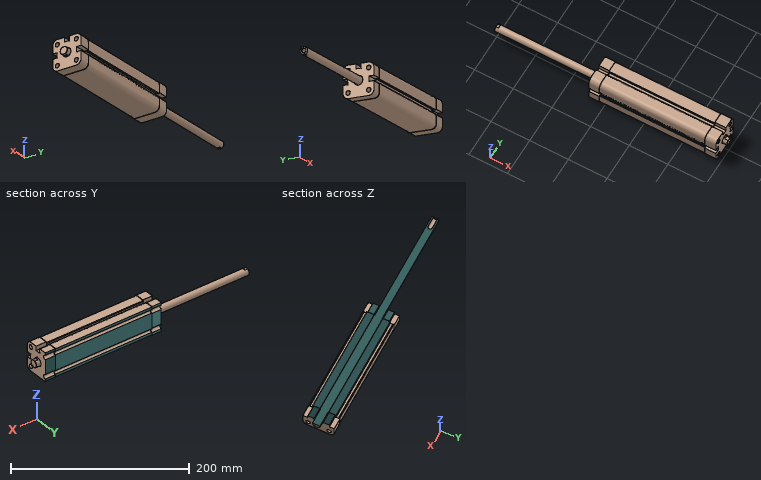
import cadquery as cq
import math

total_length = 301.0
front_cap_start = 130.5
front_cap_length = 13.5
tube_length = 136.5
rear_cap_length = 14.5
tube_start = front_cap_start + front_cap_length
rear_cap_start = tube_start + tube_length

cap_width = 39.5
tube_width = 38.5
cap_corner_radius = 6.5
tube_corner_radius = cap_corner_radius - (cap_width - tube_width) / 2

bolt_spacing = 26.2
cap_hole_diameter = 5.5
tube_hole_diameter = 4.0

cap_bore_diameter = 11.0

cap_slot_width = 6.3
cap_slot_depth = 6.0
tube_slot_opening = 4.8
tube_slot_width = cap_slot_width
tube_slot_depth = 4.8
tube_lip_thickness = 1.8
slot_angles = (-90, 0, 90)

rod_diameter = 10.0
flats_distance = 9.0
front_flats_length = 4.0
rear_flats_length = 4.5
rear_chamfer = 0.3
rod_hole_diameter = 4.8
rod_hole_mouth_diameter = 6.0
rod_hole_depth = 15.0
drill_point_angle = 118


def bar(start, length, width, corner_radius):
    """Square bar along X with rounded long edges."""
    return (
        cq.Workplane("YZ", origin=(start, 0, 0))
        .rect(width, width)
        .extrude(length)
        .edges("|X")
        .fillet(corner_radius)
    )


def slot_cutter(start, length, width, outer_depth, inner_depth):
    """Groove in the top face, between two depths below the cap's top."""
    groove = cq.Workplane("XY").box(length, width, inner_depth - outer_depth, centered=(False, True, False))
    return groove.translate((start, 0, cap_width / 2 - inner_depth))


def cut_on_slotted_faces(body, cutter):
    """Cut the top-face groove there and on both side faces."""
    for angle in slot_angles:
        body = body.cut(cutter.rotate((0, 0, 0), (1, 0, 0), angle))
    return body


def cut_long_holes(body, start, length, bolt_hole_diameter, bore_diameter):
    """Cut the four bolt holes and the central rod bore."""
    section = cq.Workplane("YZ", origin=(start, 0, 0))
    bolt_holes = section.rect(bolt_spacing, bolt_spacing, forConstruction=True).vertices()
    body = body.cut(bolt_holes.circle(bolt_hole_diameter / 2).extrude(length))
    return body.cut(section.circle(bore_diameter / 2).extrude(length))


def make_cap(start, length):
    """End cap with plain slots."""
    cap = bar(start, length, cap_width, cap_corner_radius)
    cap = cut_long_holes(cap, start, length, cap_hole_diameter, cap_bore_diameter)
    return cut_on_slotted_faces(cap, slot_cutter(start, length, cap_slot_width, 0, cap_slot_depth))


def make_tube():
    """Profile tube with lipped slots."""
    tube = bar(tube_start, tube_length, tube_width, tube_corner_radius)
    tube = cut_long_holes(tube, tube_start, tube_length, tube_hole_diameter, rod_diameter)
    opening = slot_cutter(tube_start, tube_length, tube_slot_opening, 0, tube_slot_depth)
    channel = slot_cutter(tube_start, tube_length, tube_slot_width, tube_lip_thickness, tube_slot_depth)
    return cut_on_slotted_faces(tube, opening.union(channel))


def make_rod():
    """Round rod with wrench flats at both ends and a drilled front tip."""
    rod = cq.Workplane("YZ").circle(rod_diameter / 2).extrude(total_length)
    rod = rod.faces(">X").chamfer(rear_chamfer)

    flat_cut = (rod_diameter - flats_distance) / 2
    rear_flats_start = total_length - rear_flats_length
    for start, length in ((0, front_flats_length), (rear_flats_start, rear_flats_length)):
        for bottom in (flats_distance / 2, -rod_diameter / 2):
            block = cq.Workplane("XY").box(length, rod_diameter, flat_cut, centered=(False, True, False))
            rod = rod.cut(block.translate((start, 0, bottom)))

    radius = rod_hole_diameter / 2
    mouth_radius = rod_hole_mouth_diameter / 2
    point_length = radius / math.tan(math.radians(drill_point_angle / 2))
    drill_outline = [
        (0, 0),
        (0, mouth_radius),
        (mouth_radius - radius, radius),
        (rod_hole_depth, radius),
        (rod_hole_depth + point_length, 0),
    ]
    drill = cq.Workplane("XZ").polyline(drill_outline).close().revolve(360, (0, 0, 0), (1, 0, 0))
    return rod.cut(drill)


front_cap = make_cap(front_cap_start, front_cap_length)
tube = make_tube()
rear_cap = make_cap(rear_cap_start, rear_cap_length)
rod = make_rod()

result = cq.Compound.makeCompound([front_cap.val(), tube.val(), rear_cap.val(), rod.val()])